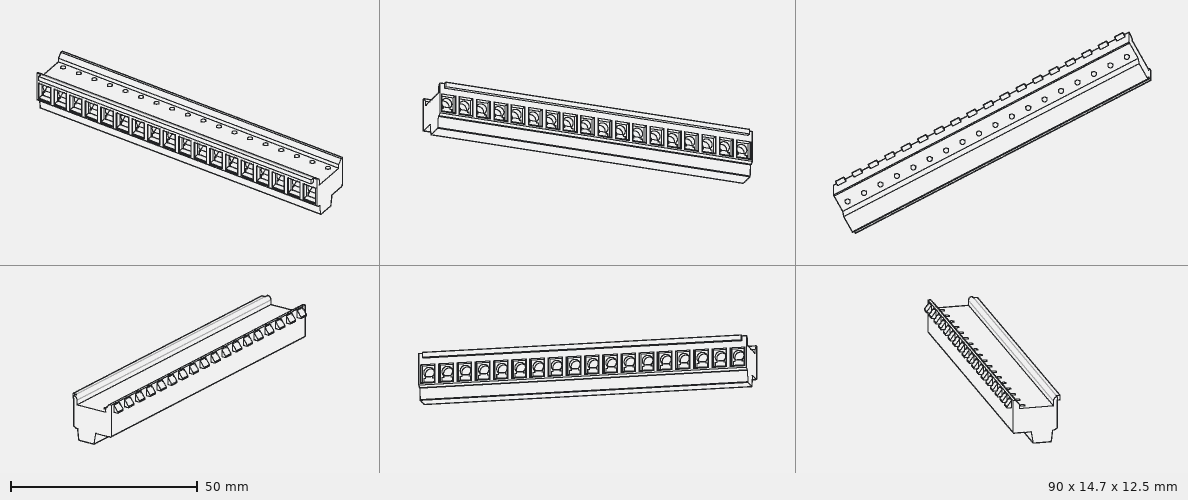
import cadquery as cq
import math

LENGTH = 90.0
POLES = 18
PITCH = LENGTH / POLES
POLE_XS = [(pole + 0.5) * PITCH for pole in range(POLES)]

HEIGHT = 12.5
BODY_DEPTH = 12.3
DECK_Z = 10.1
SHOULDER_Z = 3.2
STEM_FRONT_TOP, STEM_BACK_TOP = 1.3, 7.2
STEM_FRONT_BOTTOM, STEM_BACK_BOTTOM = 1.6, 6.7
STEM_FRONT_CHAMFER = 0.2
FRONT_CHAMFER_DEPTH = 0.7
FRONT_CHAMFER_HEIGHT = 0.5
BACK_BOTTOM_CHAMFER = 0.3
FRONT_WALL = 1.1
BACK_WALL = 1.9
BACK_WALL_TOP = 0.7
BACK_WALL_SHOULDER_Z = 11.25

LEDGE_DEPTH = 1.1
LEDGE_HEIGHT = 1.35
LEDGE_LENGTH = 87.6

LATCH_WIDTH = 2.5
LATCH_DEPTH = 1.3
LATCH_TIP_Z = 10.4
LATCH_TOP_Z = 12.15

PIN_HOLE_DIAMETER = 1.35
PIN_HOLE_Y = 9.0

POCKET_WIDTH = 3.7
POCKET_DEPTH = 1.4
POCKET_TOP_Z = 9.4
POCKET_FRONT_FLOOR_Z = 4.5
POCKET_BACK_FLOOR_Z = 4.7
LIP_SIDE_CHAMFER = 0.2
LIP_FLOOR_CHAMFER = 0.3
LIP_DEPTH = 0.1

KEYHOLE_DIAMETER = 2.9
KEYHOLE_Z = 7.5
KEYHOLE_DEPTH = 0.2
NECK_WIDTH = 2.0
FOOT_WIDTH = 2.9
FOOT_TOP_Z = 5.9

SCREW_HOLE_DEPTH = 1.8
SCREW_HOLE_FLOOR_Z = 6.4
SCREW_HOLE_FLOOR_RISE = 0.4


def extrude_along_x(points, width, center_x):
    """Extrude a (Y, Z) outline along X, centred on center_x."""
    profile = cq.Workplane("YZ", origin=(center_x - width / 2, 0, 0))
    return profile.polyline(points).close().extrude(width)


def make_body():
    back_wall_front = BODY_DEPTH - BACK_WALL
    arc_mid_y = FRONT_WALL * math.sqrt(0.5)
    arc_mid_z = HEIGHT - FRONT_WALL + arc_mid_y
    profile = (
        cq.Workplane("YZ")
        .moveTo(STEM_FRONT_BOTTOM + STEM_FRONT_CHAMFER, 0)
        .lineTo(STEM_BACK_BOTTOM, 0)
        .lineTo(STEM_BACK_TOP, SHOULDER_Z)
        .lineTo(BODY_DEPTH - BACK_BOTTOM_CHAMFER, SHOULDER_Z)
        .lineTo(BODY_DEPTH, SHOULDER_Z + BACK_BOTTOM_CHAMFER)
        .lineTo(BODY_DEPTH, HEIGHT)
        .lineTo(BODY_DEPTH - BACK_WALL_TOP, HEIGHT)
        .lineTo(back_wall_front, BACK_WALL_SHOULDER_Z)
        .lineTo(back_wall_front, DECK_Z)
        .lineTo(FRONT_WALL, DECK_Z)
        .lineTo(FRONT_WALL, HEIGHT - FRONT_WALL)
        .threePointArc((arc_mid_y, arc_mid_z), (0, HEIGHT))
        .lineTo(0, SHOULDER_Z + FRONT_CHAMFER_HEIGHT)
        .lineTo(FRONT_CHAMFER_DEPTH, SHOULDER_Z)
        .lineTo(STEM_FRONT_TOP, SHOULDER_Z)
        .lineTo(STEM_FRONT_BOTTOM, STEM_FRONT_CHAMFER)
        .close()
    )
    return profile.extrude(LENGTH)


def make_ledge():
    outline = [
        (-LEDGE_DEPTH, HEIGHT - LEDGE_HEIGHT),
        (0, HEIGHT - LEDGE_HEIGHT),
        (0, HEIGHT),
        (-LEDGE_DEPTH, HEIGHT),
    ]
    return extrude_along_x(outline, LEDGE_LENGTH, LENGTH / 2)


def make_latch(pole_x):
    tip_y = BODY_DEPTH + LATCH_DEPTH
    outline = [
        (BODY_DEPTH, DECK_Z),
        (tip_y, DECK_Z),
        (tip_y, LATCH_TIP_Z),
        (BODY_DEPTH, LATCH_TOP_Z),
    ]
    return extrude_along_x(outline, LATCH_WIDTH, pole_x)


def make_pocket(pole_x):
    """Opening with a sloped floor; its sides and floor flare at the front face."""
    opening_outline = [
        (0, POCKET_FRONT_FLOOR_Z),
        (POCKET_DEPTH, POCKET_BACK_FLOOR_Z),
        (POCKET_DEPTH, POCKET_TOP_Z),
        (0, POCKET_TOP_Z),
    ]
    opening = extrude_along_x(opening_outline, POCKET_WIDTH, pole_x)

    outer_width = POCKET_WIDTH + 2 * LIP_SIDE_CHAMFER
    inner_height = POCKET_TOP_Z - POCKET_FRONT_FLOOR_Z
    outer_height = inner_height + LIP_FLOOR_CHAMFER
    lip = (
        cq.Workplane("XZ", origin=(pole_x, 0, POCKET_TOP_Z))
        .center(0, -outer_height / 2)
        .rect(outer_width, outer_height)
        .workplane(offset=-LIP_DEPTH)
        .center(0, LIP_FLOOR_CHAMFER / 2)
        .rect(POCKET_WIDTH, inner_height)
        .loft()
    )
    return opening.union(lip)


def make_bore(pole_x, start_y, depth):
    """Cylinder of the keyhole's round top, running inward along Y."""
    bore = cq.Workplane("XZ", origin=(pole_x, start_y, KEYHOLE_Z))
    return bore.circle(KEYHOLE_DIAMETER / 2).extrude(-depth)


def make_keyhole(pole_x):
    """Keyhole recess, with its round top continued as a deeper screw hole."""
    recess_y = POCKET_DEPTH + KEYHOLE_DEPTH

    def recess_block(width, bottom_z, top_z):
        outline = [
            (POCKET_DEPTH, bottom_z),
            (recess_y, bottom_z),
            (recess_y, top_z),
            (POCKET_DEPTH, top_z),
        ]
        return extrude_along_x(outline, width, pole_x)

    keyhole = make_bore(pole_x, POCKET_DEPTH, KEYHOLE_DEPTH)
    keyhole = keyhole.union(recess_block(NECK_WIDTH, FOOT_TOP_Z, KEYHOLE_Z))
    keyhole = keyhole.union(recess_block(FOOT_WIDTH, POCKET_BACK_FLOOR_Z, FOOT_TOP_Z))

    end_y = recess_y + SCREW_HOLE_DEPTH
    below_floor = [
        (recess_y, 0),
        (end_y, 0),
        (end_y, SCREW_HOLE_FLOOR_Z + SCREW_HOLE_FLOOR_RISE),
        (recess_y, SCREW_HOLE_FLOOR_Z),
    ]
    screw_hole = make_bore(pole_x, recess_y, SCREW_HOLE_DEPTH)
    screw_hole = screw_hole.cut(extrude_along_x(below_floor, KEYHOLE_DIAMETER, pole_x))
    return keyhole.union(screw_hole)


def make_pin_hole(pole_x):
    hole = cq.Workplane("XY", origin=(pole_x, PIN_HOLE_Y, 0))
    return hole.circle(PIN_HOLE_DIAMETER / 2).extrude(HEIGHT)


result = make_body().union(make_ledge())
for x in POLE_XS:
    result = result.union(make_latch(x))
for x in POLE_XS:
    result = result.cut(make_pocket(x)).cut(make_keyhole(x))
    result = result.cut(make_pin_hole(x))